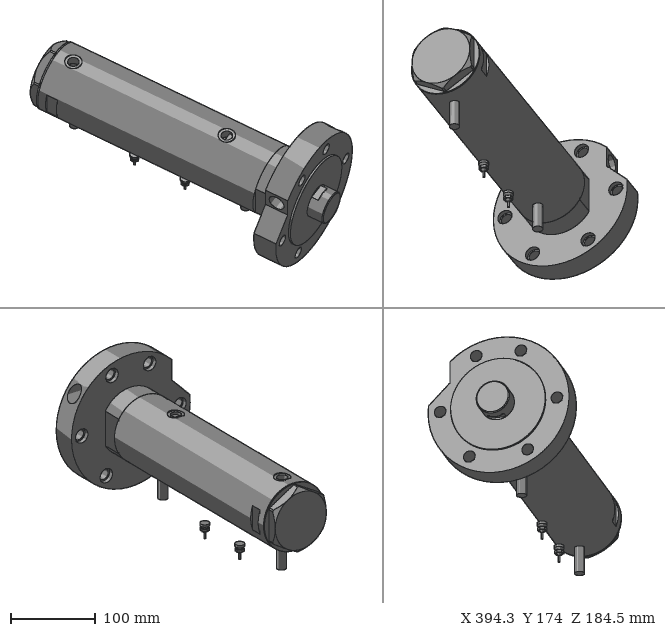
import cadquery as cq
import math


cap_hex_end = 12.5
tube_start = 14.5
bore_end = 249.2
neck_start = 312.0
flange_start = 339.0
flange_end = 370.0
boss_end = 372.5
total_length = 394.3

tube_radius = 88.0 / 2
neck_radius = 87.5 / 2
bore_radius = 31.5
flat_width = 75.0
flange_radius = 174.0 / 2
boss_radius = 58.5

slot_start = 25.2
slot_end = 40.2
slot_half_spacing = 41.0

port_stations = [37.0, bore_end]
port_radius = 6.7
port_seat_radius = 10.3
port_seat_height = 42.5
port_floor_radius = 39.5

notch_y = -60.0
notch_corner_z = 36.0
bolt_circle_radius = 144.0 / 2
bolt_angles = [0, 67.5, 112.5, 180, 240, 300]
bolt_hole_radius = 7.0
bolt_seat_radius = 9.0
bolt_seat_depth = 6.0
cross_hole_radius = 10.3
cross_hole_z = 49.0

cap_corner_radius = 42.5
cap_face_radius = 37.5

rod_start = 40.5
rod_radius = 20.5
rod_flat_width = 35.5
rod_flat_end = 381.5
rod_chamfer = 1.0

pin_stations = [38.5, 275.2]
pin_radius = 12.2 / 2
pin_bottom_z = -77.0
pin_top_z = -39.5

plug_stations = [122.0, 191.5]
plug_top_z = pin_bottom_z
plug_height = 20.5
plug_head_radius = 6.0
plug_head_height = 3.0
plug_neck_radius = 3.5
plug_nut_top = 6.5
plug_nut_bottom = 10.0
plug_cone_bottom = 12.5
plug_nut_corner_radius = 5.5
plug_nut_turn = 50
plug_stem_radius = 1.0

cut_margin = 4.0


def x_cylinder(start, end, radius):
    """Cylinder on the main axis."""
    outline = cq.Workplane("XZ").moveTo(start, 0).lineTo(start, radius).lineTo(end, radius).lineTo(end, 0)
    return outline.close().revolve(360, (0, 0, 0), (1, 0, 0))


def z_cylinder(x, bottom, top, radius):
    """Vertical cylinder in the plane Y = 0."""
    return cq.Workplane("XY", origin=(x, 0, bottom)).circle(radius).extrude(top - bottom)


def x_slab(start, end, y_size, z_size):
    """Box centred on the main axis."""
    return cq.Workplane("YZ", origin=(start, 0, 0)).rect(y_size, z_size).extrude(end - start)


def make_pin(x):
    return z_cylinder(x, pin_bottom_z, pin_top_z, pin_radius)


def make_rod():
    rod = x_cylinder(rod_start, total_length, rod_radius).faces(">X").edges().chamfer(rod_chamfer)
    flat_zone = x_cylinder(boss_end, rod_flat_end, rod_radius + cut_margin)
    flat_zone = flat_zone.cut(x_slab(boss_end, rod_flat_end, 2 * flange_radius, rod_flat_width))
    return rod.cut(flat_zone)


def make_cap():
    corner_chamfer = cap_corner_radius - cap_face_radius
    hexagon = cq.Workplane("YZ").polygon(6, flat_width, circumscribed=True).extrude(cap_hex_end)
    turned = x_cylinder(0, cap_hex_end, cap_corner_radius).faces("<X").edges().chamfer(corner_chamfer)
    collar = x_cylinder(cap_hex_end, tube_start, tube_radius)
    return hexagon.intersect(turned).union(collar)


def flange_notch():
    """Recess at the -Y, +Z side: an upright wall, then a 45 degree slope down to the rim."""
    run = flange_radius + notch_y + cut_margin
    profile = (
        cq.Workplane("YZ", origin=(flange_start, 0, 0))
        .moveTo(notch_y, flange_radius)
        .lineTo(notch_y, notch_corner_z)
        .lineTo(notch_y - run, notch_corner_z - run)
        .lineTo(notch_y - run, flange_radius)
        .close()
    )
    return profile.extrude(flange_end - flange_start)


def bolt_hole(angle):
    y = bolt_circle_radius * math.cos(math.radians(angle))
    z = bolt_circle_radius * math.sin(math.radians(angle))
    plane = cq.Workplane("YZ", origin=(flange_start, y, z))
    seat = plane.circle(bolt_seat_radius).extrude(bolt_seat_depth)
    return plane.circle(bolt_hole_radius).extrude(flange_end - flange_start).union(seat)


def cross_hole():
    middle = (flange_start + flange_end) / 2
    plane = cq.Workplane("XZ", origin=(middle, 0, cross_hole_z))
    return plane.circle(cross_hole_radius).extrude(flange_radius, both=True)


def port(x):
    """Spot-faced port that opens into the bore and stops on the gland past the bore end."""
    seat = z_cylinder(x, port_seat_height, tube_radius, port_seat_radius)
    gland = x_cylinder(bore_end, neck_start, port_floor_radius)
    return z_cylinder(x, 0, tube_radius, port_radius).cut(gland).union(seat)


def make_housing():
    tube = x_cylinder(tube_start, neck_start, tube_radius)
    neck = x_cylinder(neck_start, flange_start, neck_radius)
    neck = neck.intersect(x_slab(neck_start, flange_start, flat_width, 2 * flange_radius))

    slot_zone = x_cylinder(slot_start, slot_end, tube_radius + cut_margin)
    slot_core = x_slab(slot_start, slot_end, 2 * slot_half_spacing, 2 * flange_radius)
    tube = tube.cut(slot_zone.cut(slot_core))

    flange = x_cylinder(flange_start, flange_end, flange_radius).cut(flange_notch()).cut(cross_hole())
    for angle in bolt_angles:
        flange = flange.cut(bolt_hole(angle))
    housing = tube.union(neck).union(flange).union(x_cylinder(flange_end, boss_end, boss_radius))

    housing = housing.cut(x_cylinder(tube_start, bore_end, bore_radius))
    housing = housing.cut(x_cylinder(bore_end, boss_end, rod_radius))
    for x in port_stations:
        housing = housing.cut(port(x))
    for x in pin_stations:
        housing = housing.cut(make_pin(x))
    return housing


def make_plug(x):
    """Flanged head, waisted neck, hexagonal nut and a cone that runs into a thin stem."""
    turned = (
        cq.Workplane("XZ", origin=(x, 0, plug_top_z))
        .lineTo(plug_head_radius, 0)
        .lineTo(plug_head_radius, -plug_head_height)
        .lineTo(plug_neck_radius, -plug_nut_top)
        .lineTo(plug_neck_radius, -plug_nut_bottom)
        .lineTo(plug_stem_radius, -plug_cone_bottom)
        .lineTo(plug_stem_radius, -plug_height)
        .lineTo(0, -plug_height)
        .close()
        .revolve(360, (0, 0, 0), (0, 1, 0))
    )
    nut = (
        cq.Workplane("XY", origin=(x, 0, plug_top_z - plug_nut_bottom))
        .transformed(rotate=(0, 0, plug_nut_turn))
        .polygon(6, 2 * plug_nut_corner_radius)
        .extrude(plug_nut_bottom - plug_nut_top)
    )
    return turned.union(nut)


housing = make_housing()
cap = make_cap()
rod = make_rod()
pins = [make_pin(x).val() for x in pin_stations]
plugs = [make_plug(x).val() for x in plug_stations]

result = cq.Compound.makeCompound([housing.val(), cap.val(), rod.val(), *pins, *plugs])